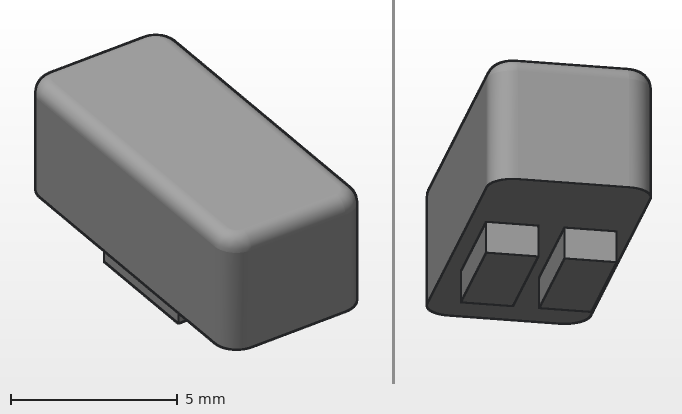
import cadquery as cq

length = 11.0
width = 5.0
body_height = 4.0
corner_radius = 0.8
top_edge_radius = 0.5

foot_length = 4.0
foot_width = 1.6
foot_height = 1.0
foot_gap = 0.8
foot_offset = (foot_gap + foot_width) / 2


def make_body():
    """Block standing on Z = 0 with rounded corners and a rounded top rim."""
    block = cq.Workplane("XY").box(length, width, body_height, centered=(True, True, False))
    return block.edges("|Z").fillet(corner_radius).faces(">Z").edges().fillet(top_edge_radius)


def make_feet():
    """Pair of bars hanging below Z = 0, mirrored about the XZ plane."""
    return (
        cq.Workplane("XY")
        .pushPoints([(0, -foot_offset), (0, foot_offset)])
        .rect(foot_length, foot_width)
        .extrude(-foot_height)
    )


result = make_body().union(make_feet())